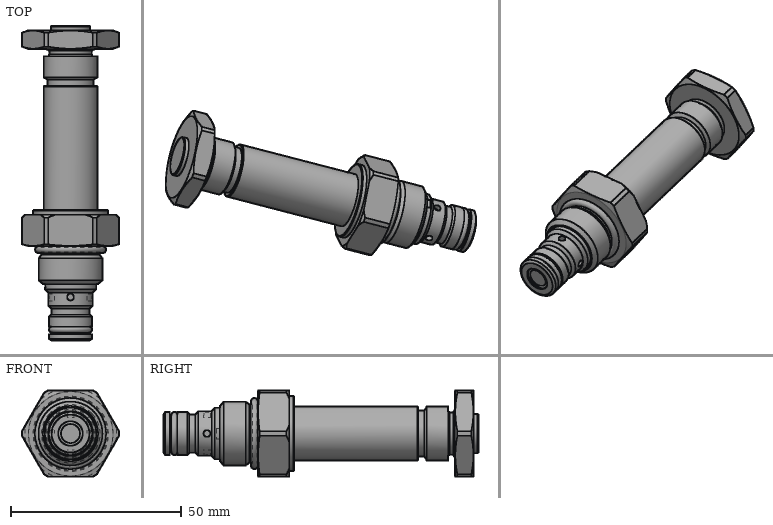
import cadquery as cq
import math


TOTAL_LENGTH = 92.51
HEX_ACROSS_FLATS = 25.4
HEX_CORNER_RADIUS = 28.57 / 2
HEX_FACE_RADIUS = 12.4
BODY_HEX_SHALLOW_CHAMFER = 0.5
NUT_CHAMFER = 0.7
BODY_HEX_STEEP_CHAMFER = 0.85

NOSE_RADIUS = 6.35
NOSE_CHAMFER_LENGTH = 0.5
NOSE_CHAMFER_DEPTH = 0.8
SEAL_GROOVE_START = 1.85
SEAL_GROOVE_END = 4.1
NOSE_O_RING_SECTION_RADIUS = 0.9
NOSE_O_RING_OUTER_RADIUS = NOSE_RADIUS
SEAL_LAND_END = 7.05
SEAL_LAND_CHAMFER = 0.55
NECK_RADIUS = 5.65

PORT_LAND_CONE_START = 9.4
PORT_LAND_START = 10.25
PORT_LAND_END = 14.1
PORT_LAND_RADIUS = 6.6
COLLAR_START = 15.1
COLLAR_RADIUS = 7.6
PORT_HOLE_DIAMETER = 2.0
PORT_HOLE_STATION = 12.75
PORT_HOLE_DEPTH = 1.8
PORT_HOLE_COUNT = 4

NOTCH_START = 15.45
NOTCH_WIDTH = 3.0
NOTCH_SHALLOW_RADIUS = 7.45
NOTCH_DEEP_RADIUS = 6.6

BODY_CHAMFER_START = 16.55
BODY_CHAMFER_RADIUS = 8.1
BODY_START = 17.7
BODY_END = 24.1
BODY_RADIUS = 9.4
UNDERCUT_START = 25.2
UNDERCUT_RADIUS = 8.6
BODY_HEX_START = 27.75
BODY_HEX_END = 36.95
BODY_O_RING_SECTION_RADIUS = 1.05
BODY_O_RING_OUTER_RADIUS = 10.45
FLANGE_END = 38.35
FLANGE_RADIUS = 11.05
FLANGE_CHAMFER = 0.25

TUBE_RADIUS = 7.94
TUBE_END = 74.8
TUBE_EDGE_CHAMFER = 0.25
TUBE_GROOVE_RADIUS = 6.8
TUBE_GROOVE_END = 76.6
TUBE_HEAD_START = 77.3
TUBE_HEAD_END = 83.55
HEAD_NECK_RADIUS = 6.25
HEAD_NECK_START = 84.05
HEAD_NECK_CONE_RADIUS = 6.5

NUT_CONE_START = 85.05
NUT_CONE_RADIUS = 7.2
NUT_START = 85.6
NUT_END = 91.1
STUD_RADIUS = 5.8
STUD_CHAMFER = 0.3

RECESS_RADIUS = 3.6
RECESS_DEPTH = 0.5
RIM_SECTION_RADIUS = 0.4


def turned_body():
    """Revolve the half outline, drawn with radius along X, about the Y axis."""
    rim_center_radius = RECESS_RADIUS - RIM_SECTION_RADIUS
    ring_center = BODY_HEX_START - BODY_O_RING_SECTION_RADIUS
    ring_center_radius = BODY_O_RING_OUTER_RADIUS - BODY_O_RING_SECTION_RADIUS
    ring_bottom_half_width = math.sqrt(
        BODY_O_RING_SECTION_RADIUS**2 - (ring_center_radius - UNDERCUT_RADIUS) ** 2
    )
    nose_ring_center = SEAL_GROOVE_END - NOSE_O_RING_SECTION_RADIUS
    nose_ring_center_radius = NOSE_O_RING_OUTER_RADIUS - NOSE_O_RING_SECTION_RADIUS

    outline = (
        cq.Workplane("XY")
        .moveTo(0, RECESS_DEPTH)
        .lineTo(rim_center_radius - RIM_SECTION_RADIUS, RECESS_DEPTH)
        .threePointArc((rim_center_radius, RECESS_DEPTH - RIM_SECTION_RADIUS), (RECESS_RADIUS, RECESS_DEPTH))
        .lineTo(RECESS_RADIUS, 0)
        .lineTo(NOSE_RADIUS - NOSE_CHAMFER_DEPTH, 0)
        .lineTo(NOSE_RADIUS, NOSE_CHAMFER_LENGTH)
        .lineTo(NOSE_RADIUS, SEAL_GROOVE_START)
        .lineTo(nose_ring_center_radius, SEAL_GROOVE_START)
        .lineTo(nose_ring_center_radius, nose_ring_center - NOSE_O_RING_SECTION_RADIUS)
        .threePointArc(
            (NOSE_O_RING_OUTER_RADIUS, nose_ring_center),
            (nose_ring_center_radius, SEAL_GROOVE_END),
        )
        .lineTo(NOSE_RADIUS, SEAL_GROOVE_END)
        .lineTo(NOSE_RADIUS, SEAL_LAND_END)
        .lineTo(NECK_RADIUS, SEAL_LAND_END + SEAL_LAND_CHAMFER)
        .lineTo(NECK_RADIUS, PORT_LAND_CONE_START)
        .lineTo(PORT_LAND_RADIUS, PORT_LAND_START)
        .lineTo(PORT_LAND_RADIUS, PORT_LAND_END)
        .lineTo(COLLAR_RADIUS, COLLAR_START)
        .lineTo(COLLAR_RADIUS, BODY_CHAMFER_START)
        .lineTo(BODY_CHAMFER_RADIUS, BODY_CHAMFER_START)
        .lineTo(BODY_RADIUS, BODY_START)
        .lineTo(BODY_RADIUS, BODY_END)
        .lineTo(UNDERCUT_RADIUS, UNDERCUT_START)
        .lineTo(UNDERCUT_RADIUS, ring_center - ring_bottom_half_width)
        .threePointArc(
            (BODY_O_RING_OUTER_RADIUS, ring_center),
            (UNDERCUT_RADIUS, ring_center + ring_bottom_half_width),
        )
        .lineTo(UNDERCUT_RADIUS, BODY_HEX_START)
        .lineTo(FLANGE_RADIUS, BODY_HEX_START)
        .lineTo(FLANGE_RADIUS, FLANGE_END - FLANGE_CHAMFER)
        .lineTo(FLANGE_RADIUS - FLANGE_CHAMFER, FLANGE_END)
        .lineTo(TUBE_RADIUS, FLANGE_END)
        .lineTo(TUBE_RADIUS, TUBE_END - TUBE_EDGE_CHAMFER)
        .lineTo(TUBE_RADIUS - TUBE_EDGE_CHAMFER, TUBE_END)
        .lineTo(TUBE_GROOVE_RADIUS, TUBE_END)
        .lineTo(TUBE_GROOVE_RADIUS, TUBE_GROOVE_END)
        .lineTo(TUBE_RADIUS, TUBE_HEAD_START)
        .lineTo(TUBE_RADIUS, TUBE_HEAD_END)
        .lineTo(HEAD_NECK_CONE_RADIUS, TUBE_HEAD_END)
        .lineTo(HEAD_NECK_RADIUS, HEAD_NECK_START)
        .lineTo(HEAD_NECK_RADIUS, NUT_CONE_START)
        .lineTo(NUT_CONE_RADIUS, NUT_START)
        .lineTo(STUD_RADIUS, NUT_START)
        .lineTo(STUD_RADIUS, TOTAL_LENGTH - STUD_CHAMFER)
        .lineTo(STUD_RADIUS - STUD_CHAMFER, TOTAL_LENGTH)
        .lineTo(0, TOTAL_LENGTH)
        .close()
    )
    return outline.revolve(360, (0, 0, 0), (0, 1, 0))


def hexagon(start, end, start_chamfer, end_face_radius, end_chamfer):
    """Hexagon with flats facing +Z and -Z, its corners turned down and both faces chamfered."""
    corner_diameter = HEX_ACROSS_FLATS / math.cos(math.pi / 6)
    prism = (
        cq.Workplane("XZ", origin=(0, start, 0))
        .polygon(6, corner_diameter)
        .extrude(start - end)
    )
    envelope = (
        cq.Workplane("XY")
        .moveTo(0, start)
        .lineTo(HEX_FACE_RADIUS, start)
        .lineTo(HEX_CORNER_RADIUS, start + start_chamfer)
        .lineTo(HEX_CORNER_RADIUS, end - end_chamfer)
        .lineTo(end_face_radius, end)
        .lineTo(0, end)
        .close()
        .revolve(360, (0, 0, 0), (0, 1, 0))
    )
    return prism.intersect(envelope)


def port_holes():
    """Blind radial holes spaced evenly around the port land."""
    bottom_radius = PORT_LAND_RADIUS - PORT_HOLE_DEPTH
    hole = (
        cq.Workplane("XY", origin=(0, PORT_HOLE_STATION, bottom_radius))
        .circle(PORT_HOLE_DIAMETER / 2)
        .extrude(COLLAR_RADIUS - bottom_radius)
    )
    holes = cq.Workplane("XY")
    for index in range(PORT_HOLE_COUNT):
        angle = index * 360 / PORT_HOLE_COUNT
        holes = holes.add(hole.rotate((0, 0, 0), (0, 1, 0), angle))
    return holes.combine()


def collar_notch():
    """Notch with a sloping floor, deepest where the collar meets the threaded body."""
    return (
        cq.Workplane("XY")
        .moveTo(-COLLAR_RADIUS, NOTCH_START)
        .lineTo(-NOTCH_SHALLOW_RADIUS, NOTCH_START)
        .lineTo(-NOTCH_DEEP_RADIUS, BODY_CHAMFER_START)
        .lineTo(-COLLAR_RADIUS, BODY_CHAMFER_START)
        .close()
        .extrude(NOTCH_WIDTH / 2, both=True)
    )


body_hexagon = hexagon(
    BODY_HEX_START,
    BODY_HEX_END,
    BODY_HEX_SHALLOW_CHAMFER,
    HEX_CORNER_RADIUS - BODY_HEX_STEEP_CHAMFER,
    BODY_HEX_STEEP_CHAMFER,
)
coil_nut = hexagon(NUT_START, NUT_END, NUT_CHAMFER, HEX_FACE_RADIUS, NUT_CHAMFER)

result = (
    turned_body()
    .union(body_hexagon)
    .union(coil_nut)
    .cut(port_holes())
    .cut(collar_notch())
)